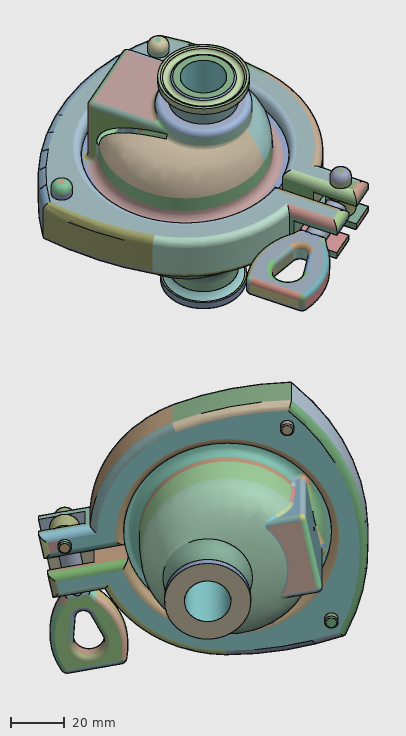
import cadquery as cq
import math


nozzle_x = 7.5
bore_diameter = 17.2
neck_radius = 26.0 / 2

upper_dome_z = 14.0
lower_dome_z = -22.8
dome_radius = 32.1
upper_shift_power = 1.5
lower_shift_power = 2.0
dome_sections = 7
upper_dome_rise = 19.1
lower_dome_drop = 17.8
upper_wall_radius = 32.5
lower_wall_radius = 32.7

flange_half_height = 4.0
flare_radius = 3.9
upper_wall_z = flange_half_height + flare_radius
lower_wall_z = -flange_half_height - flare_radius
lower_taper_z = -10.9

collar_radius = 36.0 / 2
collar_top_z = 37.1
collar_fillet = 2.3

upper_end_z = 49.0
upper_flange_radius = 34.0 / 2
upper_flange_z = 46.2
upper_flange_root_z = 44.8
upper_flange_root_radius = 14.0
groove_radius = 13.7
groove_half_width = 1.5
groove_depth = 1.6
groove_lip = 0.8
groove_lip_depth = 0.4

lower_dome_end_radius = 16.5
lower_neck_z = -45.8
lower_end_z = -56.0
lower_flange_radius = 32.0 / 2
lower_flange_z = -52.8
lower_flare_top_z = -50.0
lower_flare_radius = 15.3
lower_flare_mid_radius = 13.7
lower_flare_mid_z = -51.2

block_half_width = 16.7
block_top_z = 33.1
block_bottom_z = -34.5
block_fillet = 2.0
blend_radius = 1.6
tolerance = 0.01
drain_diameter = 1.3
drain_z = -14.9
drain_depth = 5.0

clamp_height = 18.8
clamp_fillet = 2.9
clamp_bore_radius = 38.5
clamp_outer_radius = 51.1
clamp_left_x = -51.5
clamp_half_width = 52.3
corner_x = -34.3
corner_y = 50.6
lug_end_x = 68.8
lug_inner_y = 3.3
lug_outer_y = 13.5
fork_x = 51.2
fork_height = 9.0
side_joint_angle = 78.0

pin_head_radius = 4.0
pin_radius = 2.5
pin_head_z = 14.8
pin_head_fillet = 2.9
pin_chamfer = 0.5
pin_x = -30.9
pin_y = 41.5
pin_bottom_z = -12.4
bolt_x = 59.8
bolt_pin_y = (lug_inner_y + lug_outer_y) / 2
bolt_pin_bottom_z = -11.5
bolt_radius = 4.0
bolt_eye_radius = 5.6
bolt_eye_height = 8.5
wing_top_y = -15.0
wing_shoulder_y = -18.3
wing_bottom_y = -48.5
wing_thickness = 8.3
wing_fillet = 2.0
wing_corner_fillet = 2.5
wing_top_half = 5.0
wing_shoulder_half = 7.0
wing_max_half = 14.2
wing_max_y = -36.4
wing_bottom_half = 11.7
wing_eye_big_radius = 5.8
wing_eye_big_y = -37.0
wing_eye_small_radius = 3.0
wing_eye_small_y = -26.6


def cylinder(x, y, z_from, z_to, radius):
    return cq.Workplane("XY").workplane(offset=z_from).center(x, y).circle(radius).extrude(z_to - z_from)


def dome(base_z, rise, end_radius, shift_power):
    """Loft of circles on an elliptic arc, drifting from the body axis to the nozzle axis.

    Returns the dome and the height where it ends.
    """
    end_angle = math.acos(end_radius / dome_radius)
    wires = []
    for i in range(dome_sections):
        angle = end_angle * i / (dome_sections - 1)
        radius = dome_radius * math.cos(angle)
        closing = (dome_radius - radius) / (dome_radius - end_radius)
        centre = cq.Vector(nozzle_x * closing ** shift_power, 0, base_z + rise * math.sin(angle))
        wires.append(cq.Wire.makeCircle(radius, centre, cq.Vector(0, 0, 1)))
    return cq.Workplane(cq.Solid.makeLoft(wires)), base_z + rise * math.sin(end_angle)


def body_barrel():
    """Tapered walls with the clamped flange flared between them."""
    bend = flare_radius * (1 - math.sqrt(0.5))
    profile = (
        cq.Workplane("XZ")
        .moveTo(0, upper_dome_z)
        .lineTo(dome_radius, upper_dome_z)
        .lineTo(upper_wall_radius, upper_wall_z)
        .threePointArc(
            (upper_wall_radius + bend, flange_half_height + bend),
            (upper_wall_radius + flare_radius, flange_half_height),
        )
        .lineTo(clamp_bore_radius, flange_half_height)
        .lineTo(clamp_bore_radius, -flange_half_height)
        .lineTo(lower_wall_radius + flare_radius, -flange_half_height)
        .threePointArc(
            (lower_wall_radius + bend, -flange_half_height - bend),
            (lower_wall_radius, lower_wall_z),
        )
        .lineTo(lower_wall_radius, lower_taper_z)
        .tangentArcPoint((dome_radius, lower_dome_z), relative=False)
        .lineTo(0, lower_dome_z)
        .close()
    )
    return profile.revolve()


def upper_nozzle(dome_end_z):
    """Collar, neck and pipe flange with a gasket groove in its face."""
    collar = cylinder(nozzle_x, 0, dome_end_z, collar_top_z, collar_radius)
    collar = collar.faces(">Z").edges().fillet(collar_fillet)
    lip_z = upper_end_z - groove_lip_depth
    ferrule = (
        cq.Workplane("XZ")
        .moveTo(0, collar_top_z)
        .lineTo(neck_radius, collar_top_z)
        .lineTo(neck_radius, upper_flange_root_z)
        .lineTo(upper_flange_root_radius, upper_flange_root_z)
        .lineTo(upper_flange_radius, upper_flange_z)
        .lineTo(upper_flange_radius, upper_end_z)
        .lineTo(groove_radius + groove_half_width + groove_lip, upper_end_z)
        .lineTo(groove_radius + groove_half_width, lip_z)
        .threePointArc(
            (groove_radius, upper_end_z - groove_depth),
            (groove_radius - groove_half_width, lip_z),
        )
        .lineTo(groove_radius - groove_half_width - groove_lip, upper_end_z)
        .lineTo(0, upper_end_z)
        .close()
        .revolve()
    )
    return collar.union(ferrule.translate((nozzle_x, 0, 0)))


def lower_nozzle(dome_end_z):
    """Neck that curves out of the lower dome and flares into a pipe flange."""
    flange = cylinder(0, 0, lower_end_z, lower_flange_z, lower_flange_radius)
    neck = (
        cq.Workplane("XZ")
        .moveTo(neck_radius, lower_flare_top_z)
        .lineTo(neck_radius, lower_neck_z)
        .tangentArcPoint((lower_dome_end_radius, dome_end_z), relative=False)
        .lineTo(0, dome_end_z)
        .lineTo(0, lower_flange_z)
        .lineTo(lower_flare_radius, lower_flange_z)
        .threePointArc((lower_flare_mid_radius, lower_flare_mid_z), (neck_radius, lower_flare_top_z))
        .close()
        .revolve()
    )
    return flange.union(neck).translate((nozzle_x, 0, 0))


def side_block():
    """Block flush with the body wall on the -X side."""
    length = nozzle_x + lower_wall_radius
    height = block_top_z - block_bottom_z
    block = cq.Workplane("XY").box(length, 2 * block_half_width, height, centered=(False, True, False))
    block = block.translate((-lower_wall_radius, 0, block_bottom_z))
    return block.edges("|X or <X").fillet(block_fillet)


def blend_edges(body, collar_base_z):
    """Seams of the block sides with the body and collar, and the foot of the collar."""
    edges = []
    for edge in body.edges().vals():
        box = edge.BoundingBox()
        on_block_side = box.ylen < tolerance and abs(abs(box.ymin) - block_half_width) < tolerance
        is_seam = edge.geomType() != "LINE" or edge.Center().x > 0 and box.zlen > tolerance
        on_collar_base = box.zlen < tolerance and abs(box.zmin - collar_base_z) < tolerance
        if on_collar_base or on_block_side and is_seam:
            edges.append(edge)
    return edges


def clamp():
    """Ring with two forked lugs; the side arcs run tangent into the round outer wall."""
    joint = math.radians(side_joint_angle)
    joint_x = clamp_outer_radius * math.cos(joint)
    joint_y = clamp_outer_radius * math.sin(joint)
    side_radius = (clamp_half_width - joint_y) / (1 - math.sin(joint))
    lug_x = math.sqrt(clamp_outer_radius ** 2 - lug_outer_y ** 2)
    mid = (joint + math.asin(lug_outer_y / clamp_outer_radius)) / 2
    mid_x = clamp_outer_radius * math.cos(mid)
    mid_y = clamp_outer_radius * math.sin(mid)
    side_mid = (joint_x - side_radius * math.cos(joint), clamp_half_width)
    ring = (
        cq.Workplane("XY")
        .workplane(offset=-clamp_height / 2)
        .moveTo(lug_end_x, lug_outer_y)
        .lineTo(lug_x, lug_outer_y)
        .threePointArc((mid_x, mid_y), (joint_x, joint_y))
        .threePointArc(side_mid, (corner_x, corner_y))
        .threePointArc((clamp_left_x, 0), (corner_x, -corner_y))
        .threePointArc((side_mid[0], -side_mid[1]), (joint_x, -joint_y))
        .threePointArc((mid_x, -mid_y), (lug_x, -lug_outer_y))
        .lineTo(lug_end_x, -lug_outer_y)
        .close()
        .extrude(clamp_height)
    )
    slot = cq.Workplane("XY").box(lug_end_x, 2 * lug_inner_y, clamp_height, centered=(False, True, True))
    ring = ring.cut(cylinder(0, 0, -clamp_height, clamp_height, clamp_bore_radius)).cut(slot)
    ring = ring.faces("<Z or >Z").edges().fillet(clamp_fillet)
    fork = cq.Workplane("XY").box(
        lug_end_x - fork_x, 2 * lug_outer_y, fork_height, centered=(False, True, True)
    )
    return ring.cut(fork.translate((fork_x, 0, 0)))


def pin(x, y, bottom_z):
    """Vertical clamp pin with a domed head above and a chamfered tip below."""
    head = cylinder(x, y, clamp_height / 2, pin_head_z, pin_head_radius)
    head = head.faces(">Z").edges().fillet(pin_head_fillet)
    shank = cylinder(x, y, bottom_z, clamp_height / 2, pin_radius)
    shank = shank.faces("<Z").edges().chamfer(pin_chamfer)
    return head.union(shank)


def wing_nut():
    """Rounded tab with a teardrop eye, at the outer end of the clamp bolt."""
    plate = (
        cq.Workplane("XY")
        .workplane(offset=-wing_thickness / 2)
        .moveTo(-wing_top_half, wing_top_y)
        .lineTo(wing_top_half, wing_top_y)
        .lineTo(wing_shoulder_half, wing_shoulder_y)
        .threePointArc((wing_max_half, wing_max_y), (wing_bottom_half, wing_bottom_y))
        .lineTo(-wing_bottom_half, wing_bottom_y)
        .threePointArc((-wing_max_half, wing_max_y), (-wing_shoulder_half, wing_shoulder_y))
        .close()
        .extrude(wing_thickness)
    )
    plate = plate.edges("|Z and <Y").fillet(wing_corner_fillet)
    tangent = math.asin((wing_eye_big_radius - wing_eye_small_radius) / (wing_eye_small_y - wing_eye_big_y))
    across = math.cos(tangent)
    along = math.sin(tangent)
    eye = (
        cq.Workplane("XY")
        .workplane(offset=-wing_thickness / 2)
        .moveTo(wing_eye_small_radius * across, wing_eye_small_y + wing_eye_small_radius * along)
        .threePointArc(
            (0, wing_eye_small_y + wing_eye_small_radius),
            (-wing_eye_small_radius * across, wing_eye_small_y + wing_eye_small_radius * along),
        )
        .lineTo(-wing_eye_big_radius * across, wing_eye_big_y + wing_eye_big_radius * along)
        .threePointArc(
            (0, wing_eye_big_y - wing_eye_big_radius),
            (wing_eye_big_radius * across, wing_eye_big_y + wing_eye_big_radius * along),
        )
        .close()
        .extrude(wing_thickness)
    )
    plate = plate.cut(eye)
    plate = plate.faces("<Z or >Z").edges().fillet(wing_fillet)
    return plate.translate((bolt_x, 0, 0))


def bolt():
    """Swing bolt: a rod along Y with a round eye on the hinge pin."""
    rod = cq.Workplane("XZ", origin=(bolt_x, bolt_pin_y, 0)).circle(bolt_radius)
    rod = rod.extrude(bolt_pin_y - wing_shoulder_y)
    eye = cylinder(bolt_x, bolt_pin_y, -bolt_eye_height / 2, bolt_eye_height / 2, bolt_eye_radius)
    return rod.union(eye)


upper_dome, upper_dome_end_z = dome(upper_dome_z, upper_dome_rise, collar_radius, upper_shift_power)
lower_dome, lower_dome_end_z = dome(lower_dome_z, -lower_dome_drop, lower_dome_end_radius, lower_shift_power)

body = body_barrel().union(upper_dome).union(lower_dome)
body = body.union(side_block())
body = body.union(upper_nozzle(upper_dome_end_z)).union(lower_nozzle(lower_dome_end_z))
body = body.newObject(blend_edges(body, upper_dome_end_z)).fillet(blend_radius)
bore = cylinder(nozzle_x, 0, lower_end_z, upper_end_z, bore_diameter / 2)
drain = cq.Workplane("YZ", origin=(-lower_wall_radius, 0, drain_z))
drain = drain.circle(drain_diameter / 2).extrude(drain_depth)
body = body.cut(bore).cut(drain)

result = body.union(clamp())
for side in (1, -1):
    result = result.union(pin(pin_x, side * pin_y, pin_bottom_z))
result = result.union(pin(bolt_x, bolt_pin_y, bolt_pin_bottom_z))
result = result.union(bolt()).union(wing_nut())